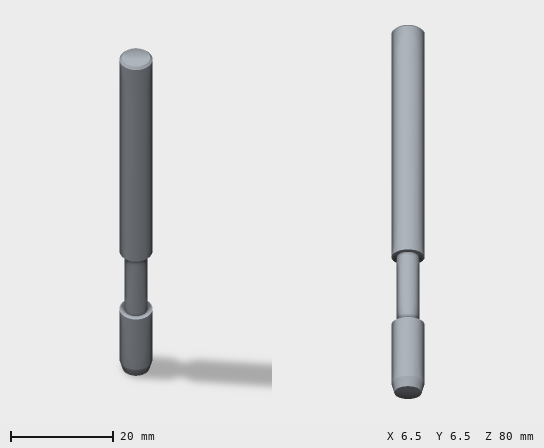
import cadquery as cq

total_length = 80.0
body_diameter = 6.5

cap_length = 7.8
cap_chamfer = 0.5

barrel_bottom = 30.0
neck_diameter = 4.5
head_top = 15.0
taper_height = 2.0
tip_diameter = 5.4

cap_bottom = total_length - cap_length
body_radius = body_diameter / 2
neck_radius = neck_diameter / 2
tip_radius = tip_diameter / 2


def make_cap():
    """Round cap with a chamfered top rim, standing on the stem."""
    return (
        cq.Workplane("XY")
        .workplane(offset=cap_bottom)
        .circle(body_radius)
        .extrude(cap_length)
        .faces(">Z")
        .chamfer(cap_chamfer)
    )


def make_stem():
    """Turned stem, revolved about Z from its half outline (radius, height)."""
    return (
        cq.Workplane("XZ")
        .moveTo(0, 0)
        .lineTo(tip_radius, 0)
        .lineTo(body_radius, taper_height)
        .lineTo(body_radius, head_top)
        .lineTo(neck_radius, head_top)
        .lineTo(neck_radius, barrel_bottom)
        .lineTo(body_radius, barrel_bottom)
        .lineTo(body_radius, cap_bottom)
        .lineTo(0, cap_bottom)
        .close()
        .revolve(360, (0, 0, 0), (0, 1, 0))
    )


cap = make_cap()
stem = make_stem()

result = cq.Compound.makeCompound([cap.val(), stem.val()])